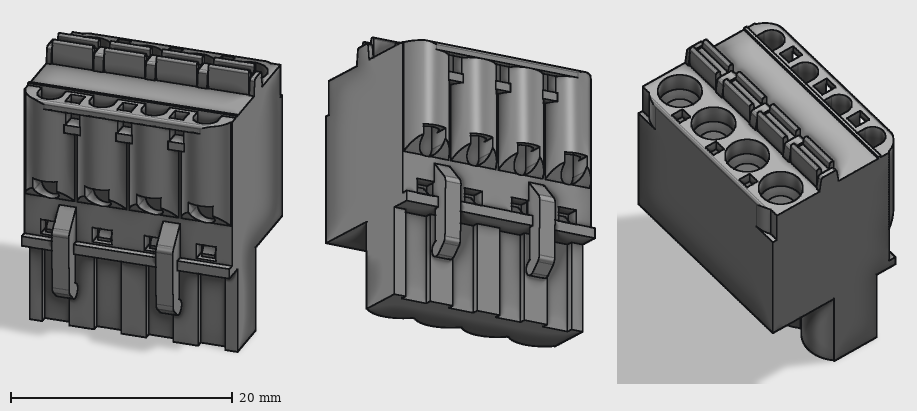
import cadquery as cq
import math


pole_count = 4
width = 20.0
half_width = width / 2
pole_pitch = width / pole_count
depth = 13.25
skirt_height = 8.32
deck_z = 23.69
overall_height = 26.0
overlap = 0.25

pole_x = [(i - (pole_count - 1) / 2) * pole_pitch for i in range(pole_count)]
between_poles_x = [(a + b) / 2 for a, b in zip(pole_x, pole_x[1:])]

column_radius = 2.5
column_projection = 1.75
column_foot_z = 13.25
column_center_y = column_radius - column_projection
bar_height = 0.78
edge_round = 0.29

wire_width = 2.35
wire_radius = wire_width / 2
wire_back_y = 0.95
wire_window_top_z = 15.68
wire_trough_z = 14.38

front_pocket_width = 1.35
front_pocket_back_y = 0.5
front_pocket_front_y = -1.05
shelf_width = 1.55
shelf_front_y = -1.1
shelf_top_z = 21.32
shelf_height = 0.8

deck_rib_depth = 0.3
deck_rib_height = 0.2

screw_hole_y = 10.45
screw_hole_diameter = 4.0
screw_seat_diameter = 2.75
screw_hole_depth = 1.92
back_pocket_size = 1.2
back_pocket_y = 12.22
back_pocket_depth = 1.05

corner_radius = 2.75
corner_land_width = 0.95
corner_recess_bottom_z = 20.44

ridge_y = 6.86
ridge_base_width = 2.15
ridge_top_width = 1.72
ridge_top_z = 25.32
ridge_round = 0.25
prong_length = 3.87
prong_span = 1.95
prong_round = 0.2
prong_crest_width = 1.05
channel_floor_width = 0.83
channel_floor_z = 25.22
prong_gap = 0.1

window_width = 1.87
window_bottom_z = 9.5
window_height = 1.43
window_depth = 1.4
catch_width = 1.25
catch_lip_height = 0.29
catch_slope = 0.85

skirt_front_y = 1.43
skirt_back_y = 6.27
skirt_bulge = 1.01
bulge_half_width = 2.4
groove_width = 2.6
groove_depth = 0.7

ledge_projection = 0.7
ledge_height = 0.95
hook_width = 1.65
hook_pitch = 2 * pole_pitch
first_hook_x = -5.82
hook_x = [first_hook_x, first_hook_x + hook_pitch]
hook_projection = 1.95
hook_root_z = 12.7
hook_shoulder = 1.6
hook_shoulder_end_z = 10.45
hook_leg_front = 1.85
hook_leg_back = 0.2
hook_leg_bottom_z = 5.23
hook_shoulder_mid = (-1.85, 10.8)
hook_heel_mid = (-1.8, 4.91)
hook_heel_end = (-1.6, 4.63)
hook_nose_start = (-0.7, 3.82)
hook_nose_mid = (0.36, 4.2)
hook_nose_end = (0.2, 4.91)


def block(x0, x1, y0, y1, z0, z1):
    """Box between the given limits."""
    return cq.Workplane("XY").box(x1 - x0, y1 - y0, z1 - z0, centered=False).translate((x0, y0, z0))


def bar_along_x(outline, center_x, length):
    """Prism along X with an outline of (y, z) points."""
    sketch = cq.Workplane("YZ").polyline(outline).close()
    return sketch.extrude(length / 2, both=True).translate((center_x, 0, 0))


def upright_cylinder(x, y, radius, z0, z1):
    """Cylinder along Z between the heights z0 and z1."""
    return cq.Workplane("XY").circle(radius).extrude(z1 - z0).translate((x, y, z0))


def bulge_radius(half_chord, sag):
    """Radius of the arc that rises by sag over a chord of twice half_chord."""
    return (half_chord**2 + sag**2) / (2 * sag)


def front_columns():
    """Column for each pole, tied together by a bar at the top and by shelves in the valleys."""
    columns = block(pole_x[0], pole_x[-1], -column_projection, 0, deck_z - bar_height, deck_z)
    for x in pole_x:
        column = upright_cylinder(x, column_center_y, column_radius, column_foot_z, deck_z)
        columns = columns.union(column)
    for x in between_poles_x:
        half = shelf_width / 2
        shelf = block(x - half, x + half, shelf_front_y, 0, shelf_top_z - shelf_height, shelf_top_z)
        columns = columns.union(shelf)
    reach = 2 * column_radius
    envelope = [
        (overlap, column_foot_z),
        (0, column_foot_z),
        (-reach, column_foot_z + reach),
        (-reach, deck_z),
        (overlap, deck_z),
    ]
    return columns.intersect(bar_along_x(envelope, 0, width))


def wire_opening(x):
    """D-shaped shaft from the deck that turns into a round-bottomed trough leaving at the front."""
    shaft = upright_cylinder(x, 0, wire_radius, wire_trough_z, deck_z + overlap)
    left = x - wire_radius
    right = x + wire_radius
    shaft = shaft.intersect(block(left, right, -wire_radius, 0, 0, overall_height))
    back = block(left, right, 0, wire_back_y, wire_trough_z, deck_z + overlap)
    trough = (
        cq.Workplane("XZ", origin=(x, wire_back_y, wire_trough_z))
        .circle(wire_radius)
        .extrude(wire_back_y + column_radius)
    )
    window = block(left, right, -column_radius, wire_back_y, wire_trough_z, wire_window_top_z)
    return shaft.union(back).union(trough).union(window)


def screw_hole(x):
    """Round well whose wall ends in a 45 degree cone above a flat floor."""
    radius = screw_hole_diameter / 2
    seat_radius = screw_seat_diameter / 2
    shoulder_z = deck_z - screw_hole_depth
    floor_z = shoulder_z - (radius - seat_radius)
    profile = [
        (0, deck_z + overlap),
        (radius, deck_z + overlap),
        (radius, shoulder_z),
        (seat_radius, floor_z),
        (0, floor_z),
    ]
    hole = cq.Workplane("XZ").polyline(profile).close().revolve(360, (0, 0, 0), (0, 1, 0))
    return hole.translate((x, screw_hole_y, 0))


def corner_recess():
    """Recess at the -X end of the back wall: a flat land that turns into a wide arc."""
    center_x = pole_x[0]
    center_y = depth - corner_radius
    land_x = -half_width + corner_land_width
    land_y = center_y + math.sqrt(corner_radius**2 - (center_x - land_x) ** 2)
    recess = block(-half_width, center_x, land_y, depth, corner_recess_bottom_z, deck_z)
    return recess.cut(upright_cylinder(center_x, center_y, corner_radius, 0, deck_z))


def mirrored_bar(half_outline, center_x, length):
    """Bar along X, symmetric about the ridge, from (offset, z) points of one half."""
    far = [(ridge_y + offset, z) for offset, z in half_outline]
    near = [(ridge_y - offset, z) for offset, z in reversed(half_outline)]
    return bar_along_x(far + near, center_x, length)


def ridge():
    """Low ridge over the full width, interrupted at each pole by a pair of taller prongs."""
    base = deck_z - overlap
    arch = [
        (ridge_base_width / 2, base),
        (ridge_base_width / 2, deck_z),
        (ridge_top_width / 2, ridge_top_z),
    ]
    body = mirrored_bar(arch, 0, width).faces(">Z").edges("|X").fillet(ridge_round)
    prong_block = [(prong_span / 2, base), (prong_span / 2, overall_height)]
    channel = [
        (channel_floor_width / 2, channel_floor_z),
        (prong_crest_width / 2, overall_height),
    ]
    for x in pole_x:
        half = prong_length / 2 + prong_gap
        body = body.cut(block(x - half, x + half, 0, depth, deck_z, overall_height))
        prongs = mirrored_bar(prong_block, x, prong_length).cut(mirrored_bar(channel, x, prong_length))
        prongs = prongs.faces(">Z").edges("|X").fillet(prong_round)
        body = body.union(prongs)
    return body


def inspection_window(x):
    """Cutter for a window that leaves the sloped catch standing inside."""
    half = window_width / 2
    top_z = window_bottom_z + window_height
    window = block(x - half, x + half, -overlap, window_depth, window_bottom_z, top_z)
    lip_y = window_depth - catch_slope
    lip_z = window_bottom_z + catch_lip_height
    catch = [
        (window_depth, window_bottom_z),
        (lip_y, window_bottom_z),
        (lip_y, lip_z),
        (window_depth, lip_z + catch_slope),
    ]
    return window.cut(bar_along_x(catch, x, catch_width))


def skirt():
    """Block under the housing, bulged at the back and grooved at the front below each pole."""
    body = block(-half_width, half_width, skirt_front_y, skirt_back_y, 0, skirt_height)
    radius = bulge_radius(bulge_half_width, skirt_bulge)
    for x in pole_x:
        bulge = upright_cylinder(x, skirt_back_y + skirt_bulge - radius, radius, 0, skirt_height)
        behind = block(x - pole_pitch / 2, x + pole_pitch / 2, skirt_back_y, depth, 0, skirt_height)
        body = body.union(bulge.intersect(behind))
    for x in pole_x:
        half = groove_width / 2
        groove_back_y = skirt_front_y + groove_depth
        body = body.cut(block(x - half, x + half, skirt_front_y, groove_back_y, 0, skirt_height))
    return body


def latch_hook(x):
    """Hook with a sloped shoulder on the front wall and a round nose that turns back at the tip."""
    outline = (
        cq.Workplane("YZ")
        .moveTo(overlap, hook_root_z)
        .lineTo(0, hook_root_z)
        .lineTo(-hook_shoulder, hook_root_z - hook_shoulder)
        .threePointArc(hook_shoulder_mid, (-hook_projection, hook_shoulder_end_z))
        .lineTo(-hook_leg_front, hook_leg_bottom_z)
        .threePointArc(hook_heel_mid, hook_heel_end)
        .lineTo(*hook_nose_start)
        .threePointArc(hook_nose_mid, hook_nose_end)
        .lineTo(-hook_leg_back, hook_leg_bottom_z)
        .lineTo(-hook_leg_back, skirt_height)
        .lineTo(overlap, skirt_height)
        .close()
    )
    return outline.extrude(hook_width / 2, both=True).translate((x, 0, 0))


def edge_rounding(edge_y, outward):
    """Cutter that rounds the deck edge at edge_y; outward is -1 for the front and 1 for the back."""
    inner_y = edge_y - outward * edge_round
    inner_z = deck_z - edge_round
    diagonal = edge_round * math.sqrt(0.5)
    outline = (
        cq.Workplane("YZ")
        .moveTo(edge_y, deck_z)
        .lineTo(edge_y, inner_z)
        .threePointArc((inner_y + outward * diagonal, inner_z + diagonal), (inner_y, deck_z))
        .close()
    )
    return outline.extrude(half_width, both=True)


ledge_top_z = skirt_height + ledge_height
result = block(-half_width, half_width, 0, depth, skirt_height, deck_z)
result = result.union(front_columns())
result = result.union(block(-half_width, half_width, -ledge_projection, 0, skirt_height, ledge_top_z))
result = result.cut(edge_rounding(-column_projection, -1)).cut(edge_rounding(depth, 1))
recess = corner_recess()
result = result.cut(recess).cut(recess.mirror("YZ"))

for x in pole_x:
    result = result.cut(wire_opening(x)).cut(screw_hole(x)).cut(inspection_window(x))

back_pocket_front_y = back_pocket_y - back_pocket_size / 2
back_pocket_back_y = back_pocket_y + back_pocket_size / 2
back_pocket_floor_z = deck_z - back_pocket_depth
for x in between_poles_x:
    left = x - front_pocket_width / 2
    right = x + front_pocket_width / 2
    result = result.cut(block(left, right, front_pocket_front_y, front_pocket_back_y, shelf_top_z, deck_z))
    left = x - back_pocket_size / 2
    right = x + back_pocket_size / 2
    result = result.cut(
        block(left, right, back_pocket_front_y, back_pocket_back_y, back_pocket_floor_z, deck_z)
    )

rib_back_y = wire_back_y + deck_rib_depth
rib_top_z = deck_z + deck_rib_height
rib = block(-half_width, half_width, wire_back_y, rib_back_y, deck_z - overlap, rib_top_z)
result = result.union(rib).union(ridge()).union(skirt())
for x in hook_x:
    result = result.union(latch_hook(x))